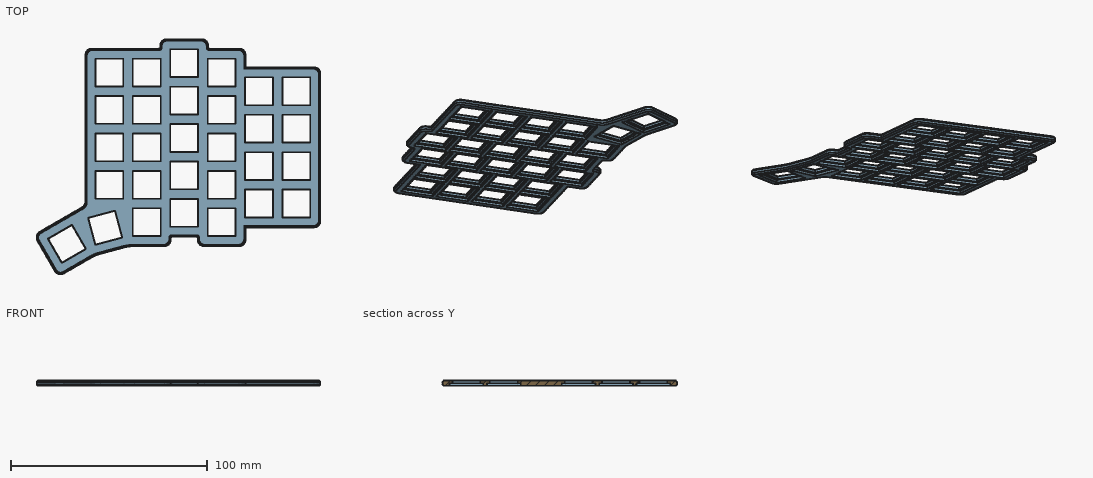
import cadquery as cq
import math

thickness = 2.8
edge_chamfer = 0.8

key_pitch = 19.0
cutout_size = 14.0
plate_web = 1.5
relief_size = 17.0
cutout_margin = 5.2
column_stagger = key_pitch / 4
column_rows = [4, 5, 5, 5, 4, 4]
column_raise = [0, 0, column_stagger, 0, -2 * column_stagger, -2 * column_stagger]

inner_thumb_offset = (-21.14, -2.81)
inner_thumb_tilt = 15.0
outer_thumb_offset = (-40.56, -11.01)
outer_thumb_tilt = 30.0

outer_corner_radius = 3.4
inner_corner_radius = 0.5
thumb_bend_radius = 20.0
thumb_foot_radius = 3.4

border = cutout_size / 2 + cutout_margin


def key_center(column, row):
    """Centre of a grid key; row 0 is the top row of its column."""
    return (column * key_pitch, column_raise[column] - row * key_pitch)


def thumb_center(offset):
    """Centre of a thumb key, measured from the lowest key of the second column."""
    anchor_x, anchor_y = key_center(1, column_rows[1] - 1)
    return (anchor_x + offset[0], anchor_y + offset[1])


def left_edge(column):
    return key_center(column, 0)[0] - border


def right_edge(column):
    return key_center(column, 0)[0] + border


def top_edge(column):
    return key_center(column, 0)[1] + border


def bottom_edge(column):
    return key_center(column, column_rows[column] - 1)[1] - border


def thumb_point(center, tilt, along, across):
    """Point given in the tilted frame of a thumb key."""
    c = math.cos(math.radians(tilt))
    s = math.sin(math.radians(tilt))
    return (center[0] + along * c - across * s, center[1] + along * s + across * c)


def line_crossing(point_a, angle_a, point_b, angle_b):
    """Crossing of two lines, each given by a point and a direction in degrees."""
    ax, ay = math.cos(math.radians(angle_a)), math.sin(math.radians(angle_a))
    bx, by = math.cos(math.radians(angle_b)), math.sin(math.radians(angle_b))
    dx, dy = point_b[0] - point_a[0], point_b[1] - point_a[1]
    distance = (dx * by - dy * bx) / (ax * by - ay * bx)
    return (point_a[0] + distance * ax, point_a[1] + distance * ay)


inner_thumb = thumb_center(inner_thumb_offset)
outer_thumb = thumb_center(outer_thumb_offset)


def outline_corners():
    """Plate corners, clockwise, each with its rounding radius (0 stays sharp)."""
    inner_bottom = thumb_point(inner_thumb, inner_thumb_tilt, 0, -border)
    outer_bottom = thumb_point(outer_thumb, outer_thumb_tilt, 0, -border)
    outer_top = thumb_point(outer_thumb, outer_thumb_tilt, 0, border)
    left_foot = line_crossing(outer_top, outer_thumb_tilt, (left_edge(0), 0), 90)
    inner_bend = line_crossing((0, bottom_edge(1)), 0, inner_bottom, inner_thumb_tilt)
    outer_bend = line_crossing(inner_bottom, inner_thumb_tilt, outer_bottom, outer_thumb_tilt)
    return [
        (left_foot, thumb_foot_radius),
        ((left_edge(0), top_edge(0)), outer_corner_radius),
        ((left_edge(2), top_edge(1)), inner_corner_radius),
        ((left_edge(2), top_edge(2)), outer_corner_radius),
        ((right_edge(2), top_edge(2)), outer_corner_radius),
        ((right_edge(2), top_edge(3)), inner_corner_radius),
        ((right_edge(3), top_edge(3)), outer_corner_radius),
        ((right_edge(3), top_edge(4)), 0),
        ((right_edge(5), top_edge(5)), outer_corner_radius),
        ((right_edge(5), bottom_edge(5)), outer_corner_radius),
        ((right_edge(3), bottom_edge(4)), 0),
        ((right_edge(3), bottom_edge(3)), outer_corner_radius),
        ((left_edge(3), bottom_edge(3)), outer_corner_radius),
        ((left_edge(3), bottom_edge(2)), inner_corner_radius),
        ((right_edge(1), bottom_edge(2)), inner_corner_radius),
        ((right_edge(1), bottom_edge(1)), outer_corner_radius),
        (inner_bend, thumb_bend_radius),
        (outer_bend, thumb_bend_radius),
        (thumb_point(outer_thumb, outer_thumb_tilt, -border, -border), outer_corner_radius),
        (thumb_point(outer_thumb, outer_thumb_tilt, -border, border), outer_corner_radius),
    ]


def make_plate():
    """Rounded plate with both rims chamfered, still without openings."""
    corners = outline_corners()
    points = [point for point, _ in corners]
    plate = cq.Workplane("XY").polyline(points).close().extrude(thickness)
    for (x, y), radius in corners:
        if radius > 0:
            plate = plate.edges(cq.NearestToPointSelector((x, y, thickness / 2))).fillet(radius)
    return plate.faces("<Z or >Z").edges().chamfer(edge_chamfer)


def switch_cutout(center, tilt=0):
    """Square switch opening through the plate, widened below the clip-in web."""
    opening = cq.Workplane("XY").rect(cutout_size, cutout_size).extrude(thickness)
    relief = cq.Workplane("XY").rect(relief_size, relief_size).extrude(thickness - plate_web)
    return (
        opening.union(relief)
        .rotate((0, 0, 0), (0, 0, 1), tilt)
        .translate((center[0], center[1], 0))
    )


result = make_plate()
for column in range(len(column_rows)):
    for row in range(column_rows[column]):
        result = result.cut(switch_cutout(key_center(column, row)))
result = result.cut(switch_cutout(inner_thumb, inner_thumb_tilt))
result = result.cut(switch_cutout(outer_thumb, outer_thumb_tilt))